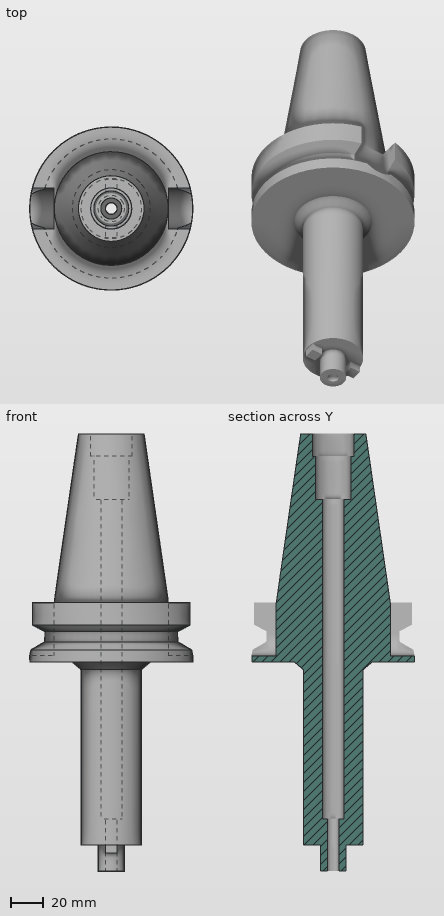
import cadquery as cq

total_height = 267.8

taper_top_radius = 20.0
taper_base_radius = 34.8
taper_length = 101.8
neck_length = 1.5

flange_radius = 49.95
groove_radius = 42.5
upper_rim_height = 13.7
groove_upper_slope = 4.0
groove_floor_height = 6.5
groove_lower_slope = 4.8
lower_rim_height = 7.5

shoulder_radius = 23.8
shoulder_height = 4.5
shank_radius = 18.5
pilot_radius = 8.0
pilot_length = 16.0

slot_width = 25.2
slot_floor_distance = 35.0
slot_bottom_margin = 4.0

lug_width = 7.2
lug_inner_distance = 10.7
lug_outer_distance = 17.7
lug_height = 4.8

counterbore_radius = 12.5
counterbore_depth = 13.7
thread_radius = 10.7
thread_depth = 40.2
channel_radius = 6.5
channel_depth = 235.7
outlet_radius = 3.5

taper_base_z = total_height - taper_length
flange_top_z = taper_base_z - neck_length
groove_top_z = flange_top_z - upper_rim_height
groove_floor_top_z = groove_top_z - groove_upper_slope
groove_floor_bottom_z = groove_floor_top_z - groove_floor_height
groove_bottom_z = groove_floor_bottom_z - groove_lower_slope
flange_bottom_z = groove_bottom_z - lower_rim_height
shoulder_bottom_z = flange_bottom_z - shoulder_height
shank_bottom_z = pilot_length


def make_body():
    """Revolve the outer profile about Z."""
    profile = [
        (0, total_height),
        (taper_top_radius, total_height),
        (taper_base_radius, taper_base_z),
        (taper_base_radius, flange_top_z),
        (flange_radius, flange_top_z),
        (flange_radius, groove_top_z),
        (groove_radius, groove_floor_top_z),
        (groove_radius, groove_floor_bottom_z),
        (flange_radius, groove_bottom_z),
        (flange_radius, flange_bottom_z),
        (shoulder_radius, flange_bottom_z),
        (shank_radius, shoulder_bottom_z),
        (shank_radius, shank_bottom_z),
        (pilot_radius, shank_bottom_z),
        (pilot_radius, 0),
        (0, 0),
    ]
    return cq.Workplane("XZ").polyline(profile).close().revolve(360, (0, 0), (0, 1))


def make_drive_slot():
    """Cutter for the +X slot: open at the top, with a full-round lower end."""
    half_width = slot_width / 2
    slot_bottom_z = flange_bottom_z + slot_bottom_margin
    arc_center_z = slot_bottom_z + half_width
    return (
        cq.Workplane("YZ", origin=(slot_floor_distance, 0, 0))
        .moveTo(-half_width, flange_top_z)
        .lineTo(-half_width, arc_center_z)
        .threePointArc((0, slot_bottom_z), (half_width, arc_center_z))
        .lineTo(half_width, flange_top_z)
        .close()
        .extrude(flange_radius - slot_floor_distance)
    )


def make_lug():
    """Block under the shank on the +Y side."""
    lug_depth = lug_outer_distance - lug_inner_distance
    lug_center_y = lug_inner_distance + lug_depth / 2
    return (
        cq.Workplane("XY", origin=(0, lug_center_y, shank_bottom_z))
        .rect(lug_width, lug_depth)
        .extrude(-lug_height)
    )


def make_bore():
    """Cutter for the stepped hole through the whole part."""
    bore_steps = [
        (counterbore_radius, counterbore_depth),
        (thread_radius, thread_depth),
        (channel_radius, channel_depth),
        (outlet_radius, total_height),
    ]
    top = cq.Workplane("XY", origin=(0, 0, total_height))
    bore = cq.Workplane("XY")
    for radius, depth in bore_steps:
        bore = bore.union(top.circle(radius).extrude(-depth))
    return bore


result = make_body()
for angle in (0, 180):
    result = result.cut(make_drive_slot().rotate((0, 0, 0), (0, 0, 1), angle))
    result = result.union(make_lug().rotate((0, 0, 0), (0, 0, 1), angle))
result = result.cut(make_bore())